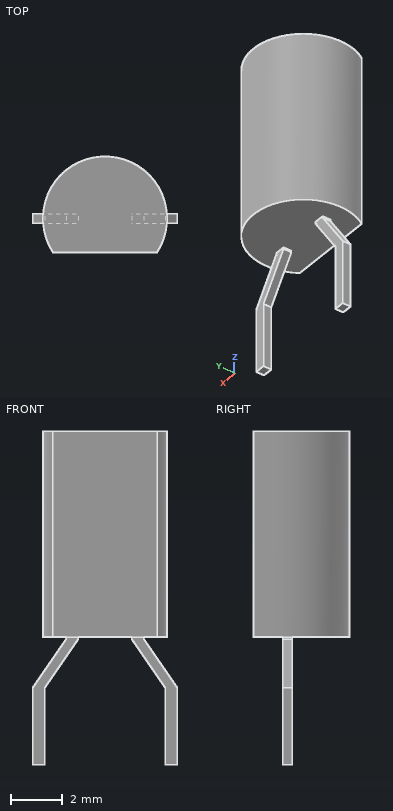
import cadquery as cq
import math

body_radius = 2.415
body_depth = 3.74
body_height = 8.0

overall_width = 5.62
overall_height = 12.96
lead_width = 0.48
lead_thickness = 0.38
lead_top_pitch = 2.54
lead_neck = 0.07
lead_foot = 3.0

flat_y = body_radius - body_depth
flat_half_width = math.sqrt(body_radius**2 - flat_y**2)
lead_length = overall_height - body_height
lead_foot_pitch = overall_width - lead_width


def make_body():
    """Extrude the D-shaped outline upward from the base."""
    return (
        cq.Workplane("XY")
        .moveTo(-flat_half_width, flat_y)
        .threePointArc((0, body_radius), (flat_half_width, flat_y))
        .close()
        .extrude(body_height)
    )


def make_lead(side):
    """Make one cranked lead; side is -1 for -X and +1 for +X."""
    top_inner = lead_top_pitch / 2 - lead_width / 2
    top_outer = top_inner + lead_width
    foot_inner = lead_foot_pitch / 2 - lead_width / 2
    foot_outer = foot_inner + lead_width
    tip_z = -lead_length
    lower_bend_z = tip_z + lead_foot
    upper_bend_z = -lead_neck
    outline = [
        (side * top_inner, 0),
        (side * top_outer, 0),
        (side * top_outer, upper_bend_z),
        (side * foot_outer, lower_bend_z),
        (side * foot_outer, tip_z),
        (side * foot_inner, tip_z),
        (side * foot_inner, lower_bend_z),
        (side * top_inner, upper_bend_z),
    ]
    return cq.Workplane("XZ").polyline(outline).close().extrude(lead_thickness / 2, both=True)


result = make_body()
for side in (-1, 1):
    result = result.union(make_lead(side))